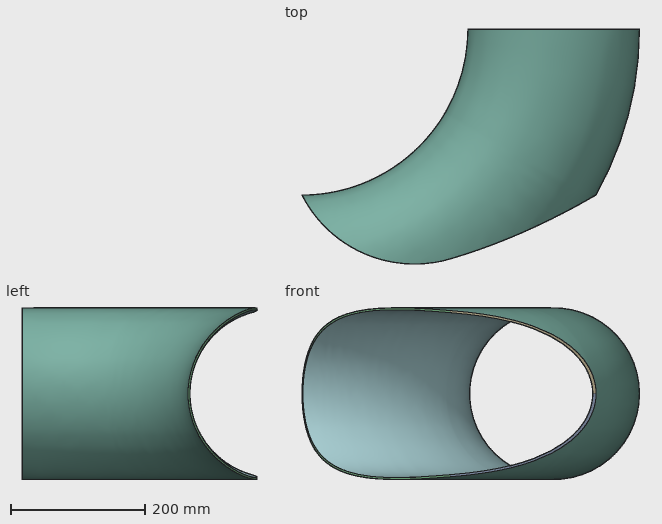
import cadquery as cq

bend_outer_reach = 503.0
tube_diameter = 256.0
wall = 3.0
tube_radius = tube_diameter / 2
bore_radius = tube_radius - wall
bend_radius = bend_outer_reach - tube_radius
throat_radius = bend_outer_reach - tube_diameter

scoop_lowest_x = 166.0
scoop_depth = 350.0
scoop_end_x = 221.5
joint_end_x = bend_outer_reach


def joint_y(x):
    """Parabola of points equally far from the bend centerline and a straight pipe's centerline.

    The straight pipe lies along X at y = -bend_radius.
    """
    return x**2 / (4 * bend_radius) - bend_radius


def make_bend():
    """Quarter turn of hollow tube, from the +X axis round to the -Y axis."""
    return (
        cq.Workplane("XZ")
        .center(bend_radius, 0)
        .circle(tube_radius)
        .circle(bore_radius)
        .revolve(90, (-bend_radius, 0), (-bend_radius, -1))
    )


def make_kept_region():
    """Upright block whose lower side follows the scoop and then the joint parabola."""
    tangent_crossing = (
        (scoop_end_x + joint_end_x) / 2,
        scoop_end_x * joint_end_x / (4 * bend_radius) - bend_radius,
    )
    scoop_end = (scoop_end_x, joint_y(scoop_end_x))
    joint_end = (joint_end_x, joint_y(joint_end_x))
    return (
        cq.Workplane("XY")
        .moveTo(0, 0)
        .lineTo(0, -throat_radius)
        .threePointArc((scoop_lowest_x, -scoop_depth), scoop_end)
        .bezier([scoop_end, tangent_crossing, joint_end])
        .lineTo(joint_end_x, 0)
        .close()
        .extrude(tube_diameter, both=True)
    )


result = make_bend().intersect(make_kept_region())